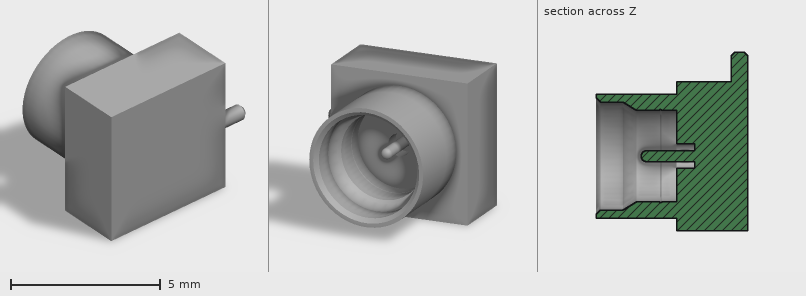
import cadquery as cq

block_side = 5.0
block_thickness = 2.38

barrel_length = 2.695
barrel_diameter = 4.175

mouth_diameter = 3.885
entry_diameter = 3.6
throat_diameter = 3.05
mouth_chamfer_depth = 0.15
entry_depth = 0.895
throat_start_depth = 1.345
groove_start_depth = 2.14
groove_width = 0.065
groove_height = 0.03
floor_depth = barrel_length

recess_diameter = 0.8
recess_depth = 0.6
contact_diameter = 0.38
contact_height = 1.195

terminal_diameter = 0.56
terminal_length = 0.98
terminal_chamfer = 0.12


def rod_x(diameter, start, end):
    """Cylinder on the X axis between two X positions."""
    return cq.Workplane("YZ", origin=(start, 0, 0)).circle(diameter / 2).extrude(end - start)


back = barrel_length + block_thickness
block = cq.Workplane("XY").box(block_thickness, block_side, block_side).translate(
    (back - block_thickness / 2, 0, 0)
)
body = block.union(rod_x(barrel_diameter, 0, barrel_length))

bore = (
    cq.Workplane("XY")
    .polyline(
        [
            (0, 0),
            (0, mouth_diameter / 2),
            (mouth_chamfer_depth, entry_diameter / 2),
            (entry_depth, entry_diameter / 2),
            (throat_start_depth, throat_diameter / 2),
            (groove_start_depth, throat_diameter / 2),
            (groove_start_depth, throat_diameter / 2 + groove_height),
            (groove_start_depth + groove_width, throat_diameter / 2),
            (floor_depth, throat_diameter / 2),
            (floor_depth, 0),
        ]
    )
    .close()
    .revolve(360, (0, 0, 0), (1, 0, 0))
)
body = body.cut(bore)

recess_floor = floor_depth + recess_depth
body = body.cut(rod_x(recess_diameter, floor_depth, recess_floor))
contact_radius = contact_diameter / 2
tip_centre = floor_depth - contact_height + contact_radius
contact = rod_x(contact_diameter, tip_centre, recess_floor)
contact = contact.union(cq.Workplane("XY").sphere(contact_radius).translate((tip_centre, 0, 0)))
body = body.union(contact)

terminal = (
    cq.Workplane("XZ", origin=(back - terminal_diameter / 2, block_side / 2, 0))
    .circle(terminal_diameter / 2)
    .extrude(-terminal_length)
    .faces(">Y")
    .chamfer(terminal_chamfer)
)

result = body.union(terminal)